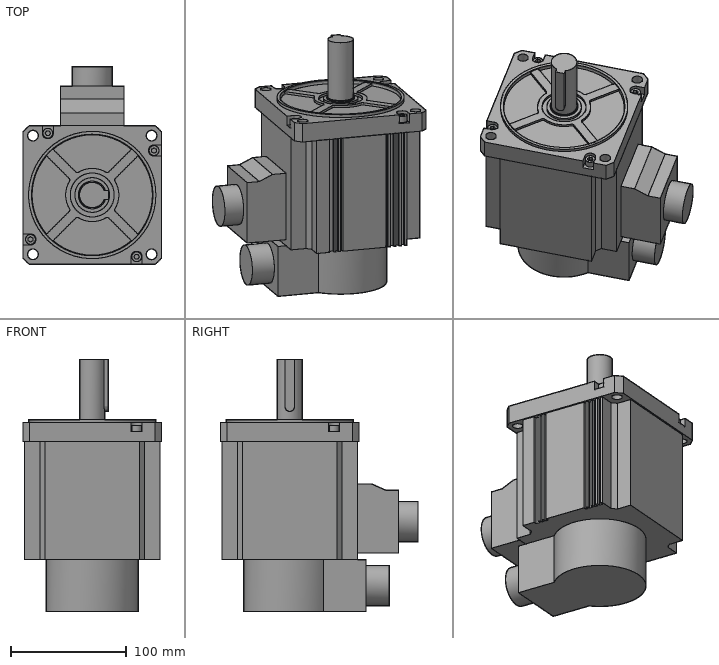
import cadquery as cq
import math


SHAFT_TOP = 54.5
PILOT_TOP = 2.5
FLANGE_BOTTOM = -16.5
BODY_BOTTOM = -118.5
COVER_BOTTOM = -163.5

FLANGE_SIDE = 120.0
FLANGE_CORNER_RADIUS = 81.0
MOUNT_HOLE_DIAMETER = 9.0
MOUNT_HOLE_CIRCLE = 145.0

PILOT_RADIUS = 55.0
RECESS_RADIUS = 52.5
RIB_TOP = PILOT_TOP - 1.0
POCKET_FLOOR = RIB_TOP - 2.0
POCKET_FLOOR_RADIUS = 52.0
RIB_WIDTH = 8.0
HUB_RADIUS = 23.0
RIB_FILLET = 2.0
SEAL_GROOVE_RADIUS = 19.0
SEAL_RADIUS = 15.0
COLLAR_RADIUS = 12.0
COLLAR_HEIGHT = 1.0

SHAFT_RADIUS = 11.0
KEY_WIDTH = 8.0
KEY_TIP = 14.0
KEY_LENGTH = 45.0
KEY_ROOT = 7.0

SCREW_ALONG = 38.4
SCREW_OUT = 53.4
SLOT_WIDTH = 9.5
SLOT_DEPTH = 8.0
HEAD_DIAMETER = 8.5
HEAD_HEIGHT = 5.5
SOCKET_ACROSS_FLATS = 4.0
SOCKET_DEPTH = 3.0

BODY_SIDE = 117.4
CORNER_FACE = 41.0
CORNER_NOTCH = 45.0
FIN_GROOVE_DEPTH = 3.0
FIN_GROOVES = (
    (25.2, 29.5),
    (21.3, 23.5),
    (17.3, 19.3),
    (-24.0, -22.0),
    (-29.2, -26.0),
    (-33.8, -31.1),
    (-39.0, -36.2),
)

COVER_RADIUS = 40.0
CONNECTOR_BLOCK_WIDTH = 55.0
CONNECTOR_RADIUS = 17.5
ENCODER_BLOCK_END = 66.0
ENCODER_CONNECTOR_END = 86.0
POWER_BLOCK_TOP = -53.2
POWER_BLOCK_SHOULDER = -58.5
POWER_BLOCK_BOTTOM = -113.0
POWER_SLOPE_START = 71.0
POWER_SLOPE_END = 83.0
POWER_BLOCK_END = 94.0
POWER_CONNECTOR_END = 111.0


def disc(radius, bottom, top):
    """Upright cylinder on the shaft axis."""
    return cq.Workplane("XY").workplane(offset=bottom).circle(radius).extrude(top - bottom)


def box_between(x_range, y_range, z_range):
    """Box given by its limits along each axis."""
    sizes = [high - low for low, high in (x_range, y_range, z_range)]
    corner = (x_range[0], y_range[0], z_range[0])
    return cq.Workplane("XY").box(*sizes, centered=False).translate(corner)


def make_flange():
    half = FLANGE_SIDE / 2
    flange = box_between((-half, half), (-half, half), (FLANGE_BOTTOM, 0))
    flange = flange.intersect(disc(FLANGE_CORNER_RADIUS, FLANGE_BOTTOM, 0))
    hole_offset = MOUNT_HOLE_CIRCLE / 2 * math.sqrt(0.5)
    holes = (
        cq.Workplane("XY")
        .rect(2 * hole_offset, 2 * hole_offset, forConstruction=True)
        .vertices()
        .circle(MOUNT_HOLE_DIAMETER / 2)
        .extrude(FLANGE_BOTTOM)
    )
    return flange.cut(holes).union(disc(PILOT_RADIUS, FLANGE_BOTTOM, PILOT_TOP))


def make_ribs():
    """Hub and the four diagonal ribs left standing in the pocket."""
    ribs = disc(HUB_RADIUS, POCKET_FLOOR, RIB_TOP)
    half = RIB_WIDTH / 2
    beam = box_between((-PILOT_RADIUS, PILOT_RADIUS), (-half, half), (POCKET_FLOOR, RIB_TOP))
    for angle in (45, 135):
        ribs = ribs.union(beam.rotate((0, 0, 0), (0, 0, 1), angle))
    reach = HUB_RADIUS - RIB_FILLET
    corners = cq.selectors.BoxSelector((-reach, -reach, POCKET_FLOOR), (reach, reach, RIB_TOP))
    return ribs.edges("|Z").edges(corners).fillet(RIB_FILLET)


def cut_pilot_recess(solid):
    pocket = (
        cq.Workplane("XZ")
        .moveTo(0, POCKET_FLOOR)
        .lineTo(POCKET_FLOOR_RADIUS, POCKET_FLOOR)
        .lineTo(RECESS_RADIUS, RIB_TOP)
        .lineTo(0, RIB_TOP)
        .close()
        .revolve(360, (0, 0, 0), (0, 1, 0))
    )
    seal_groove = disc(SEAL_GROOVE_RADIUS, POCKET_FLOOR, RIB_TOP)
    seal_groove = seal_groove.cut(disc(SEAL_RADIUS, POCKET_FLOOR, RIB_TOP))
    solid = solid.cut(disc(RECESS_RADIUS, RIB_TOP, PILOT_TOP))
    return solid.cut(pocket.cut(make_ribs())).cut(seal_groove)


def make_shaft():
    shaft = disc(SHAFT_RADIUS, POCKET_FLOOR, SHAFT_TOP)
    collar = disc(COLLAR_RADIUS, POCKET_FLOOR, RIB_TOP + COLLAR_HEIGHT)
    half = KEY_WIDTH / 2
    round_center = SHAFT_TOP - KEY_LENGTH + half
    key = (
        cq.Workplane("YZ")
        .workplane(offset=KEY_ROOT)
        .moveTo(-half, SHAFT_TOP)
        .lineTo(-half, round_center)
        .threePointArc((0, round_center - half), (half, round_center))
        .lineTo(half, SHAFT_TOP)
        .close()
        .extrude(KEY_TIP - KEY_ROOT)
    )
    return shaft.union(collar).union(key)


def add_flange_screws(solid):
    """Four cap screws, one near the end of each flange edge."""
    half = SLOT_WIDTH / 2
    slot_bottom = -SLOT_DEPTH
    slot = box_between(
        (SCREW_OUT, FLANGE_SIDE / 2),
        (SCREW_ALONG - half, SCREW_ALONG + half),
        (slot_bottom, 0),
    )
    center = cq.Workplane("XY").workplane(offset=slot_bottom).center(SCREW_OUT, SCREW_ALONG)
    slot = slot.union(center.circle(half).extrude(SLOT_DEPTH))
    socket_across_corners = SOCKET_ACROSS_FLATS / math.cos(math.pi / 6)
    socket = (
        cq.Workplane("XY")
        .polygon(6, socket_across_corners)
        .extrude(SOCKET_DEPTH)
        .rotate((0, 0, 0), (0, 0, 1), 90)
        .translate((SCREW_OUT, SCREW_ALONG, slot_bottom + HEAD_HEIGHT - SOCKET_DEPTH))
    )
    head = center.circle(HEAD_DIAMETER / 2).extrude(HEAD_HEIGHT).cut(socket)
    clearance = slot.cut(head)
    for quarter in range(4):
        solid = solid.cut(clearance.rotate((0, 0, 0), (0, 0, 1), 90 * quarter))
    return solid


def make_body():
    half = BODY_SIDE / 2
    outline = []
    for quarter in range(4):
        turn_cos = round(math.cos(quarter * math.pi / 2))
        turn_sin = round(math.sin(quarter * math.pi / 2))
        corner = (
            (half, CORNER_FACE),
            (CORNER_NOTCH, CORNER_FACE),
            (CORNER_FACE, CORNER_NOTCH),
            (CORNER_FACE, half),
        )
        for x, y in corner:
            outline.append((x * turn_cos - y * turn_sin, x * turn_sin + y * turn_cos))
    height = FLANGE_BOTTOM - BODY_BOTTOM
    body = cq.Workplane("XY").workplane(offset=BODY_BOTTOM).polyline(outline).close().extrude(height)
    for y_range in FIN_GROOVES:
        groove = box_between((-half, -half + FIN_GROOVE_DEPTH), y_range, (BODY_BOTTOM, FLANGE_BOTTOM))
        body = body.cut(groove)
    return body


def make_connector(start, end, height):
    """Round connector shell pointing along +Y, centred at the given height."""
    shell = cq.Workplane("XZ").center(0, height).circle(CONNECTOR_RADIUS).extrude(start - end)
    return shell.translate((0, start, 0))


def make_encoder_cover():
    half = CONNECTOR_BLOCK_WIDTH / 2
    cover = disc(COVER_RADIUS, COVER_BOTTOM, BODY_BOTTOM)
    block = box_between((-half, half), (0, ENCODER_BLOCK_END), (COVER_BOTTOM, BODY_BOTTOM))
    middle = (COVER_BOTTOM + BODY_BOTTOM) / 2
    connector = make_connector(ENCODER_BLOCK_END, ENCODER_CONNECTOR_END, middle)
    return cover.union(block).union(connector)


def make_power_connector():
    block = (
        cq.Workplane("YZ")
        .moveTo(0, POWER_BLOCK_BOTTOM)
        .lineTo(POWER_BLOCK_END, POWER_BLOCK_BOTTOM)
        .lineTo(POWER_BLOCK_END, POWER_BLOCK_SHOULDER)
        .lineTo(POWER_SLOPE_END, POWER_BLOCK_SHOULDER)
        .lineTo(POWER_SLOPE_START, POWER_BLOCK_TOP)
        .lineTo(0, POWER_BLOCK_TOP)
        .close()
        .extrude(CONNECTOR_BLOCK_WIDTH / 2, both=True)
    )
    middle = (POWER_BLOCK_SHOULDER + POWER_BLOCK_BOTTOM) / 2
    return block.union(make_connector(POWER_BLOCK_END, POWER_CONNECTOR_END, middle))


flange = add_flange_screws(cut_pilot_recess(make_flange()))
result = flange.union(make_body())
result = result.union(make_encoder_cover())
result = result.union(make_power_connector())
result = result.union(make_shaft())